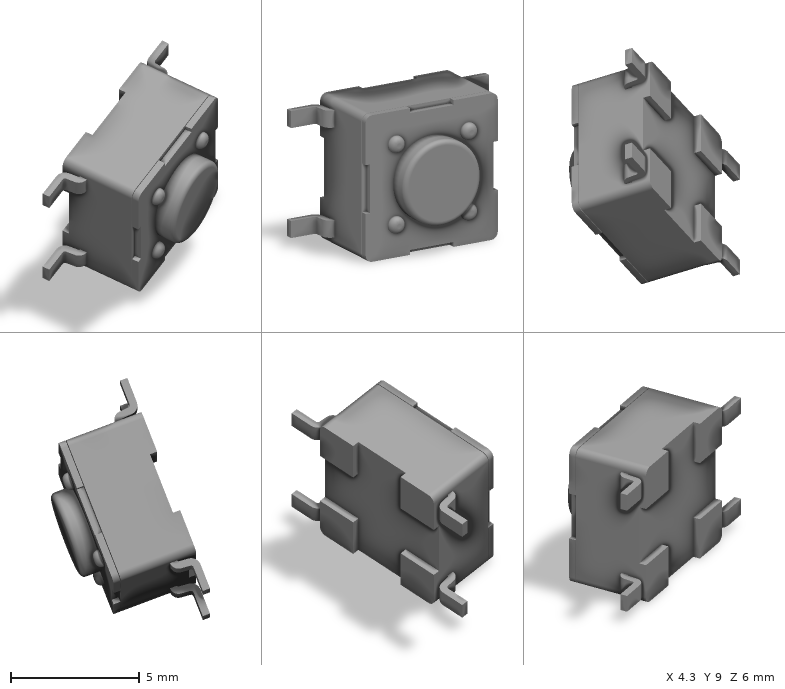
import cadquery as cq
import math


body_side = 6.0
corner_radius = 0.3
cover_front = 3.45
cover_thickness = 0.28
standoff_height = 0.3
channel_width = 2.5

notch_width = 2.0
notch_depth = 0.2

groove_width = 0.03
groove_depth = 0.3

overall_height = 4.3
button_diameter = 3.5
button_edge_radius = 0.2

rivet_diameter = 0.7
rivet_height = 0.3
rivet_edge_radius = 0.25
rivet_offset = 1.65

leg_span = 9.0
leg_width = 0.7
leg_thickness = 0.3
leg_offset = 2.25
foot_length = 1.02
foot_inner_radius = 0.1
shank_run = 0.39
shank_slope = math.radians(5)
root_inner_radius = 0.05
root_embed = 0.18


def make_housing():
    """Rounded block with crossed rear channels, a parting groove and a notch in each cover edge."""
    housing = cq.Workplane("YZ").rect(body_side, body_side).extrude(cover_front)
    housing = housing.edges("|X").fillet(corner_radius)

    channel = cq.Workplane("YZ").rect(channel_width, body_side).extrude(standoff_height)
    notch = (
        cq.Workplane("YZ", origin=(cover_front - cover_thickness, 0, 0))
        .center(0, body_side / 2 - notch_depth / 2)
        .rect(notch_width, notch_depth)
        .extrude(cover_thickness)
    )
    groove_core = body_side - 2 * groove_depth
    groove = (
        cq.Workplane("YZ", origin=(cover_front - cover_thickness - groove_width, 0, 0))
        .rect(body_side, body_side)
        .rect(groove_core, groove_core)
        .extrude(groove_width)
    )
    housing = housing.cut(groove)

    x_axis = ((0, 0, 0), (1, 0, 0))
    for angle in (0, 90):
        housing = housing.cut(channel.rotate(*x_axis, angle))
    for angle in (0, 90, 180, 270):
        housing = housing.cut(notch.rotate(*x_axis, angle))
    return housing


def make_knob(y, z, diameter, height, edge_radius):
    """Cylinder standing on the cover, with its outer rim rounded."""
    return (
        cq.Workplane("YZ", origin=(cover_front, y, z))
        .circle(diameter / 2)
        .extrude(height)
        .faces(">X")
        .edges()
        .fillet(edge_radius)
    )


def arc_point(center, radius, angle):
    """Point on a circle in the XY plane."""
    return (center[0] + radius * math.cos(angle), center[1] + radius * math.sin(angle))


def make_leg():
    """S-bent strip on the +Y side: flat foot, sloped shank, then a root entering the housing."""
    foot_outer_radius = foot_inner_radius + leg_thickness
    root_outer_radius = root_inner_radius + leg_thickness
    tip_y = leg_span / 2

    foot_center = (foot_outer_radius, tip_y - foot_length)
    foot_end = 1.5 * math.pi - shank_slope
    foot_middle = (math.pi + foot_end) / 2

    root_start = math.pi / 2 - shank_slope
    root_middle = root_start / 2
    shank_start = arc_point(foot_center, foot_inner_radius, foot_end)
    shank_end = (
        shank_start[0] + shank_run * math.cos(shank_slope),
        shank_start[1] - shank_run * math.sin(shank_slope),
    )
    root_center = arc_point(shank_end, root_outer_radius, root_start + math.pi)
    root_y = body_side / 2 - root_embed

    return (
        cq.Workplane("XY")
        .moveTo(0, tip_y)
        .lineTo(0, foot_center[1])
        .threePointArc(
            arc_point(foot_center, foot_outer_radius, foot_middle),
            arc_point(foot_center, foot_outer_radius, foot_end),
        )
        .lineTo(*arc_point(root_center, root_inner_radius, root_start))
        .threePointArc(
            arc_point(root_center, root_inner_radius, root_middle),
            arc_point(root_center, root_inner_radius, 0),
        )
        .lineTo(root_center[0] + root_inner_radius, root_y)
        .lineTo(root_center[0] + root_outer_radius, root_y)
        .lineTo(*arc_point(root_center, root_outer_radius, 0))
        .threePointArc(arc_point(root_center, root_outer_radius, root_middle), shank_end)
        .lineTo(*shank_start)
        .threePointArc(
            arc_point(foot_center, foot_inner_radius, foot_middle),
            arc_point(foot_center, foot_inner_radius, math.pi),
        )
        .lineTo(leg_thickness, tip_y)
        .close()
        .extrude(leg_width / 2, both=True)
    )


result = make_housing()
result = result.union(make_knob(0, 0, button_diameter, overall_height - cover_front, button_edge_radius))

leg = make_leg()
for z_side in (-1, 1):
    leg_pair = leg.translate((0, 0, z_side * leg_offset))
    result = result.union(leg_pair).union(leg_pair.mirror("XZ"))
    for y_side in (-1, 1):
        rivet = make_knob(
            y_side * rivet_offset, z_side * rivet_offset, rivet_diameter, rivet_height, rivet_edge_radius
        )
        result = result.union(rivet)